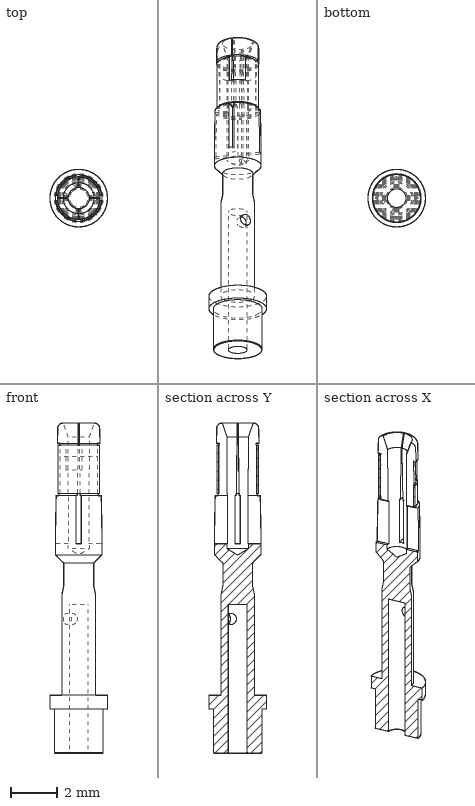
import cadquery as cq
import math

HEIGHT = 14.25
FLANGE_BOTTOM = 1.91
FLANGE_TOP = 2.51
SHANK_TOP = 6.87
NECK_BOTTOM = 7.21
BODY_BOTTOM = 8.56
TINE_BEND = 9.59
SHOULDER_TOP = 11.12
COLLAR_BOTTOM = 13.37

BARREL_R = 1.05
BARREL_CHAMFER = 0.03
FLANGE_D = 2.5
FLANGE_R = FLANGE_D / 2
SHANK_R = 0.73
NECK_R = 0.65
BODY_R = 1.01
SHOULDER_R = 0.98
TINE_BASE_R = 0.85
TINE_TIP_R = 0.8
COLLAR_BOTTOM_R = 0.93

RIM_HEIGHT = 0.19
RIM_ROUND = 0.24

CONTACT_BORE_R = 0.45
FUNNEL_R = 0.67
FUNNEL_DEPTH = 0.61
CONTACT_BORE_BOTTOM = 8.84
DRILL_POINT_ANGLE = 118.0

CRIMP_BORE_R = 0.4
CRIMP_BORE_DEPTH = 6.41
INSPECTION_D = 0.48
INSPECTION_Z = 5.8
INSPECTION_ANGLE = 135.0

SLOT_BOTTOM = 9.05
BODY_SLOT_W = 0.21
TINE_SLOT_W = 0.13
COLLAR_SLOT_W = 0.04

SLEEVE_R = 0.9
SLEEVE_INNER_R = 0.81
SLEEVE_BOTTOM = 11.2
SLEEVE_TOP = 13.3
NOTCH_X_MIN = -0.55
NOTCH_X_MAX = 0.14
NOTCH_BOTTOM = 12.23


def turned(profile):
    """Revolve a closed (radius, z) profile about the Z axis."""
    return profile.close().revolve(360, (0, 0, 0), (0, 1, 0))


def rim_point(angle):
    """Point on the rim arc, which is level at the funnel mouth (angle 0)."""
    drop = RIM_ROUND * (1 - math.cos(angle))
    return FUNNEL_R + RIM_ROUND * math.sin(angle), HEIGHT - drop


def outer_body():
    cone_drop = BODY_R - NECK_R
    rim_sweep = math.acos((RIM_ROUND - RIM_HEIGHT) / RIM_ROUND)
    profile = (
        cq.Workplane("XZ")
        .moveTo(0, 0)
        .lineTo(BARREL_R - BARREL_CHAMFER, 0)
        .lineTo(BARREL_R, BARREL_CHAMFER)
        .lineTo(BARREL_R, FLANGE_BOTTOM)
        .lineTo(FLANGE_R, FLANGE_BOTTOM)
        .lineTo(FLANGE_R, FLANGE_TOP)
        .lineTo(SHANK_R, FLANGE_TOP)
        .lineTo(SHANK_R, SHANK_TOP)
        .lineTo(NECK_R, NECK_BOTTOM)
        .lineTo(NECK_R, BODY_BOTTOM - cone_drop)
        .lineTo(BODY_R, BODY_BOTTOM)
        .lineTo(BODY_R, TINE_BEND)
        .lineTo(SHOULDER_R, SHOULDER_TOP)
        .lineTo(TINE_BASE_R, SHOULDER_TOP)
        .lineTo(TINE_TIP_R, COLLAR_BOTTOM)
        .lineTo(COLLAR_BOTTOM_R, COLLAR_BOTTOM)
        .lineTo(*rim_point(rim_sweep))
        .threePointArc(rim_point(rim_sweep / 2), rim_point(0))
        .lineTo(0, HEIGHT)
    )
    return turned(profile)


def contact_bore():
    point_depth = CONTACT_BORE_R / math.tan(math.radians(DRILL_POINT_ANGLE / 2))
    profile = (
        cq.Workplane("XZ")
        .moveTo(0, CONTACT_BORE_BOTTOM - point_depth)
        .lineTo(CONTACT_BORE_R, CONTACT_BORE_BOTTOM)
        .lineTo(CONTACT_BORE_R, HEIGHT - FUNNEL_DEPTH)
        .lineTo(FUNNEL_R, HEIGHT)
        .lineTo(0, HEIGHT)
    )
    return turned(profile)


def crimp_bore():
    return cq.Workplane("XY").circle(CRIMP_BORE_R).extrude(CRIMP_BORE_DEPTH)


def inspection_hole():
    """Radial hole from the axis out through one side of the shank."""
    return (
        cq.Workplane("YZ")
        .center(0, INSPECTION_Z)
        .circle(INSPECTION_D / 2)
        .extrude(2 * SHANK_R)
        .rotate((0, 0, 0), (0, 0, 1), INSPECTION_ANGLE)
    )


def crossed_slots(bottom, bottom_width, top, top_width):
    """Two slots at right angles, cut across the part between two heights."""
    slot = (
        cq.Workplane("XZ")
        .moveTo(-bottom_width / 2, bottom)
        .lineTo(bottom_width / 2, bottom)
        .lineTo(top_width / 2, top)
        .lineTo(-top_width / 2, top)
        .close()
        .extrude(FLANGE_R, both=True)
    )
    return slot.union(slot.rotate((0, 0, 0), (0, 0, 1), 90))


def sleeve():
    ring = (
        cq.Workplane("XY")
        .workplane(offset=SLEEVE_BOTTOM)
        .circle(SLEEVE_R)
        .circle(SLEEVE_INNER_R)
        .extrude(SLEEVE_TOP - SLEEVE_BOTTOM)
    )
    notch = cq.Workplane("XY").box(
        NOTCH_X_MAX - NOTCH_X_MIN, SLEEVE_R, SLEEVE_TOP - NOTCH_BOTTOM, centered=False
    )
    return ring.cut(notch.translate((NOTCH_X_MIN, 0, NOTCH_BOTTOM)))


contact = outer_body().cut(contact_bore()).cut(crimp_bore()).cut(inspection_hole())

contact = contact.cut(crossed_slots(SLOT_BOTTOM, BODY_SLOT_W, SHOULDER_TOP, BODY_SLOT_W))
contact = contact.cut(crossed_slots(SHOULDER_TOP, TINE_SLOT_W, COLLAR_BOTTOM, COLLAR_SLOT_W))
contact = contact.cut(crossed_slots(COLLAR_BOTTOM, COLLAR_SLOT_W, HEIGHT, COLLAR_SLOT_W))

result = contact.union(sleeve())